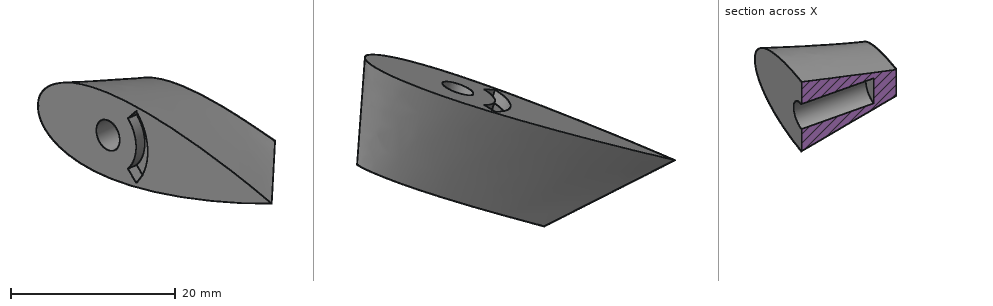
import cadquery as cq
import math

chord = 40.0
root_thickness = 11.4
thickness_terms = {1: 0.2969, 2: -0.1260, 4: -0.3516, 6: 0.2843, 8: -0.1036}
thickness_scale = 5 * root_thickness
span = 13.15
taper_angle = 15.0
tip_tail_x = 27.65
outline_steps = 24
bisection_steps = 50

pivot_x = 12.0
pivot_radius = 2.0
pivot_depth = 10.0
pocket_inner_radius = 4.8
pocket_outer_radius = 6.8
pocket_half_angle = 45.0
pocket_depth = 1.5


def outline_point(s, inset):
    """Upper aerofoil outline moved inwards by inset; s is 0 at the nose and 1 at the tail.

    The distance along the chord is chord * s**2, which keeps the round nose smooth in s.
    """
    x = chord * s**2
    z = thickness_scale * sum(c * s**n for n, c in thickness_terms.items())
    dx = 2 * chord * s
    dz = thickness_scale * sum(n * c * s ** (n - 1) for n, c in thickness_terms.items())
    length = math.hypot(dx, dz)
    return x + inset * dz / length, z - inset * dx / length


def root_plane():
    """Sketch plane on the root face: local x is X, local y is Z, normal is -Y."""
    return cq.Workplane("XZ")


def tail_parameter(inset):
    """Value of s where the inset upper outline meets the chord plane, found by bisection."""
    above, below = 0.5, 1.0
    for _ in range(bisection_steps):
        middle = (above + below) / 2
        if outline_point(middle, inset)[1] > 0:
            above = middle
        else:
            below = middle
    return above


def aerofoil_section(y, tail_x):
    """Closed aerofoil wire at distance y from the root, its lower side mirroring the upper one."""
    inset = y * math.tan(math.radians(taper_angle))
    step = tail_parameter(inset) / outline_steps
    upper = [outline_point(i * step, inset) for i in range(outline_steps)]
    upper.append((tail_x, 0.0))
    lower = [(x, -z) for x, z in reversed(upper)]
    return root_plane().workplane(offset=-y).spline(upper).spline(lower).wire().val()


def make_blade():
    """Straight-ruled loft from the root section to the small end section."""
    sections = [aerofoil_section(0, chord), aerofoil_section(span, tip_tail_x)]
    return cq.Workplane(cq.Solid.makeLoft(sections, True))


def make_pivot_hole():
    return root_plane().center(pivot_x, 0).circle(pivot_radius).extrude(-pivot_depth)


def arc_point(radius, angle):
    a = math.radians(angle)
    return radius * math.cos(a), radius * math.sin(a)


def make_arc_pocket():
    return (
        root_plane()
        .center(pivot_x, 0)
        .moveTo(*arc_point(pocket_inner_radius, -pocket_half_angle))
        .lineTo(*arc_point(pocket_outer_radius, -pocket_half_angle))
        .threePointArc((pocket_outer_radius, 0), arc_point(pocket_outer_radius, pocket_half_angle))
        .lineTo(*arc_point(pocket_inner_radius, pocket_half_angle))
        .threePointArc((pocket_inner_radius, 0), arc_point(pocket_inner_radius, -pocket_half_angle))
        .close()
        .extrude(-pocket_depth)
    )


result = make_blade().cut(make_pivot_hole()).cut(make_arc_pocket())